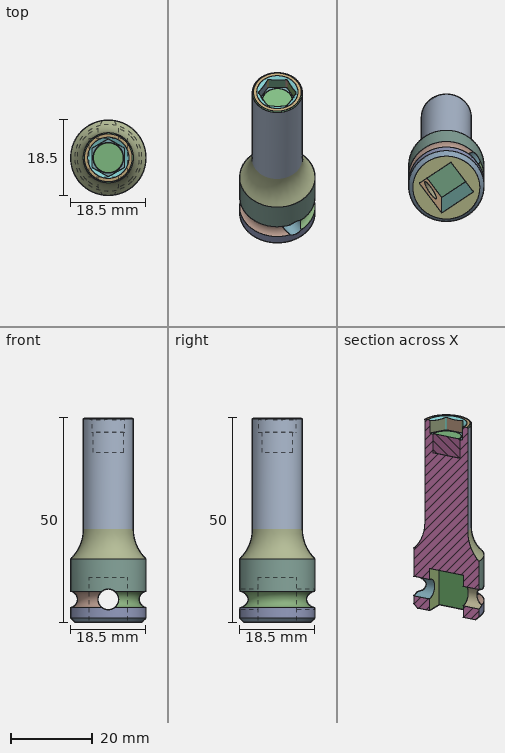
import cadquery as cq
import math

total_height = 50.0
base_radius = 9.25
tube_radius = 6.15

base_chamfer = 1.05
groove_bottom = 3.65
groove_top = 7.6
groove_depth = 1.65
cross_hole_diameter = 5.0
groove_center = (groove_bottom + groove_top) / 2

flank_bottom = 15.55
flank_top = 22.8
flank_width = base_radius - tube_radius
flank_height = flank_top - flank_bottom
flank_radius = (flank_height**2 + flank_width**2) / (2 * flank_width)
flank_half_angle = math.asin(flank_height / flank_radius) / 2
flank_mid_radius = tube_radius + flank_radius * (1 - math.cos(flank_half_angle))
flank_mid_height = flank_top - flank_radius * math.sin(flank_half_angle)

rim_chamfer_width = 0.3
rim_chamfer_height = 0.2

hex_across_flats = 8.05
hex_corner_diameter = hex_across_flats / math.cos(math.pi / 6)
hex_corner_fillet = 0.5
hex_depth = 3.5
lead_in_radius = 5.05
lead_in_angle = math.radians(25)
lead_in_depth = lead_in_radius * math.tan(lead_in_angle)

magnet_radius = 3.75
recess_radius = magnet_radius
magnet_edge_chamfer = 0.1
magnet_height = 5.0
magnet_protrusion = 0.1
recess_floor = total_height - hex_depth + magnet_protrusion - magnet_height

drive_side = 9.5
drive_depth = 11.0


def make_outer_form():
    """Revolved outside of the socket."""
    return (
        cq.Workplane("XZ")
        .lineTo(base_radius - base_chamfer, 0)
        .lineTo(base_radius, base_chamfer)
        .lineTo(base_radius, groove_bottom)
        .threePointArc((base_radius - groove_depth, groove_center), (base_radius, groove_top))
        .lineTo(base_radius, flank_bottom)
        .threePointArc((flank_mid_radius, flank_mid_height), (tube_radius, flank_top))
        .lineTo(tube_radius, total_height - rim_chamfer_height)
        .lineTo(tube_radius - rim_chamfer_width, total_height)
        .lineTo(0, total_height)
        .close()
        .revolve(360, (0, 0), (0, 1))
    )


def make_hex_cut():
    """Hexagon with rounded corners, two of them on the Y axis."""
    return (
        cq.Workplane("XY", origin=(0, 0, total_height))
        .transformed(rotate=(0, 0, 90))
        .polygon(6, hex_corner_diameter)
        .extrude(-hex_depth)
        .edges("|Z")
        .fillet(hex_corner_fillet)
    )


def make_lead_in_cut():
    """Downward-pointing cone that bevels the mouth of the hexagon."""
    return (
        cq.Workplane("XZ", origin=(0, 0, total_height))
        .lineTo(lead_in_radius, 0)
        .lineTo(0, -lead_in_depth)
        .close()
        .revolve(360, (0, 0), (0, 1))
    )


def make_magnet_recess_cut():
    """Round pocket from the magnet seat up into the hexagon."""
    return (
        cq.Workplane("XY", origin=(0, 0, recess_floor))
        .circle(recess_radius)
        .extrude(magnet_height)
    )


def make_drive_cut():
    """Square drive opening in the underside."""
    return cq.Workplane("XY").rect(drive_side, drive_side).extrude(drive_depth)


def make_cross_hole_cut():
    """Pin hole through the groove along Y."""
    return (
        cq.Workplane("XZ", origin=(0, 0, groove_center))
        .circle(cross_hole_diameter / 2)
        .extrude(base_radius, both=True)
    )


def make_socket():
    return (
        make_outer_form()
        .cut(make_hex_cut())
        .cut(make_lead_in_cut())
        .cut(make_magnet_recess_cut())
        .cut(make_drive_cut())
        .cut(make_cross_hole_cut())
    )


def make_magnet():
    """Round magnet standing slightly above the socket floor, top edge broken."""
    return (
        cq.Workplane("XY", origin=(0, 0, recess_floor))
        .circle(magnet_radius)
        .extrude(magnet_height)
        .faces(">Z")
        .chamfer(magnet_edge_chamfer)
    )


socket = make_socket()
magnet = make_magnet()
result = cq.Compound.makeCompound([socket.val(), magnet.val()])